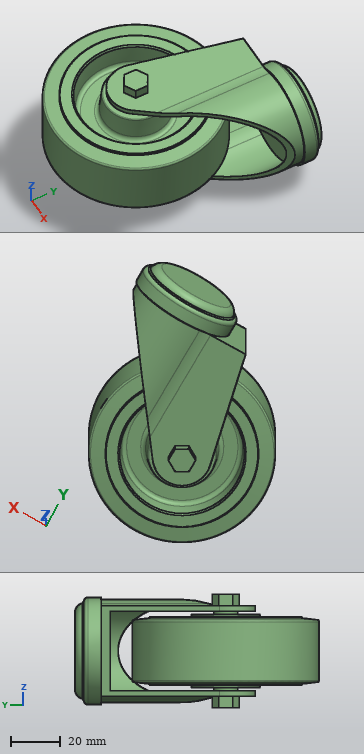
import cadquery as cq
import math


tolerance = 0.001

wheel_radius = 37.485
tread_half_width = 12.4
tread_edge_fillet = 0.8
shoulder_half_width = 13.2
groove_width = 0.3
groove_depth = 0.3
rim_radius = 30.5
rim_half_width = 13.8
recess_mouth_radius = 25.7
recess_wall_radius = 25.0
mouth_bevel_depth = 0.7
recess_floor_radius = 24.1
web_half_thickness = 3.4
recess_floor_fillet = 2.0
hub_top_radius = 13.7
hub_top_fillet = 0.4
hub_base_radius = 14.9
hub_base_fillet = 2.0
hub_half_width = 14.7

spacer_radius = 9.7 / 2
hex_corner_diameter = 11.0
bolt_half_length = 45.6 / 2

plate_thickness = 2.4
crown_wall = 2.1
plate_outer_z = 18.2
fork_end_radius = 11.9
fork_top_y = 50.0
fork_left_x = -1.0
crown_thickness = 3.7
crown_radius = 20.7
blend_radius = 13.0
trail_y = 45.9

cap_radius = 43.0 / 2
swivel_x = 28.0
cap_top_y = 60.515
cap_shoulder_round = 1.7
cap_shoulder_top_y = 56.9
cap_dome_radius = 19.2
cap_dome_y = 57.5
cap_flat_radius = 15.9
cap_dome_round = 4.1


def fillet_rings(body, ring_radius, height, fillet_radius):
    """Fillet the two circular edges of ring_radius at z = +height and z = -height."""
    def is_ring(edge):
        at_radius = math.isclose(edge.radius(), ring_radius, abs_tol=tolerance)
        return at_radius and math.isclose(abs(edge.Center().z), height, abs_tol=tolerance)

    return body.edges("%CIRCLE").filter(is_ring).fillet(fillet_radius)


def make_wheel():
    """Revolve the symmetric wheel section and round its edges."""
    groove_radius = rim_radius + groove_width
    groove_floor = shoulder_half_width - groove_depth
    upper_points = [
        (wheel_radius, tread_half_width),
        (groove_radius, shoulder_half_width),
        (groove_radius, groove_floor),
        (rim_radius, groove_floor),
        (rim_radius, rim_half_width),
        (recess_mouth_radius, rim_half_width),
        (recess_wall_radius, rim_half_width - mouth_bevel_depth),
        (recess_floor_radius, web_half_thickness),
        (hub_base_radius, web_half_thickness),
        (hub_top_radius, hub_half_width),
        (0, hub_half_width),
    ]
    lower_points = [(radius, -z) for radius, z in reversed(upper_points)]
    wheel = (
        cq.Workplane("XZ")
        .polyline(upper_points + lower_points)
        .close()
        .revolve(360, (0, 0, 0), (0, 1, 0))
    )
    wheel = fillet_rings(wheel, wheel_radius, tread_half_width, tread_edge_fillet)
    wheel = fillet_rings(wheel, recess_floor_radius, web_half_thickness, recess_floor_fillet)
    wheel = fillet_rings(wheel, hub_base_radius, web_half_thickness, hub_base_fillet)
    return fillet_rings(wheel, hub_top_radius, hub_half_width, hub_top_fillet)


def make_axle():
    """Spacer pin between the plates and a hexagon head beyond each plate."""
    pin = cq.Workplane("XY").circle(spacer_radius).extrude(plate_outer_z, both=True)
    heads = (
        cq.Workplane("XY")
        .polygon(6, hex_corner_diameter)
        .extrude(bolt_half_length, both=True)
        .rotate((0, 0, 0), (0, 0, 1), 30)
    )
    gap = cq.Workplane("XY").circle(hex_corner_diameter).extrude(plate_outer_z, both=True)
    return pin.union(heads.cut(gap))


def make_channel(half_height, radius, blend, left_x, top_y):
    """Solid with the fork's cross-section, extruded down from top_y."""
    blend_center_z = half_height + blend
    reach = math.sqrt((radius + blend) ** 2 - blend_center_z ** 2)
    blend_x = swivel_x - reach
    crown_share = radius / (radius + blend)
    crown_x = swivel_x - reach * crown_share
    crown_z = blend_center_z * crown_share
    mid_angle = math.atan2(blend_center_z, reach) / 2 + math.pi / 4
    mid_x = blend_x + blend * math.cos(mid_angle)
    mid_z = blend_center_z - blend * math.sin(mid_angle)
    return (
        cq.Workplane("XZ", origin=(0, top_y, 0))
        .moveTo(left_x, -half_height)
        .lineTo(blend_x, -half_height)
        .threePointArc((mid_x, -mid_z), (crown_x, -crown_z))
        .threePointArc((swivel_x + radius, 0), (crown_x, crown_z))
        .threePointArc((mid_x, mid_z), (blend_x, half_height))
        .lineTo(left_x, half_height)
        .close()
        .extrude(top_y + fork_end_radius)
    )


def end_tangent(x, y, side):
    """Tangent point on the fork's round end for a line through (x, y)."""
    angle = math.atan2(y, x) + side * math.acos(fork_end_radius / math.hypot(x, y))
    return fork_end_radius * math.cos(angle), fork_end_radius * math.sin(angle)


def make_fork():
    """Channel-shaped fork trimmed to its tapered side outline."""
    trail_x = swivel_x + crown_radius
    outline = (
        cq.Workplane("XY")
        .moveTo(fork_left_x, fork_top_y)
        .lineTo(*end_tangent(fork_left_x, fork_top_y, 1))
        .threePointArc((0, -fork_end_radius), end_tangent(trail_x, trail_y, -1))
        .lineTo(trail_x, trail_y)
        .lineTo(trail_x, fork_top_y)
        .close()
        .extrude(cap_radius, both=True)
    )
    outer = make_channel(plate_outer_z, crown_radius, blend_radius, -fork_end_radius, fork_top_y)
    inner = make_channel(
        plate_outer_z - plate_thickness,
        crown_radius - crown_wall,
        blend_radius + plate_thickness,
        -2 * fork_end_radius,
        fork_top_y - crown_thickness,
    )
    return outer.cut(inner).intersect(outline)


def make_cap():
    """Round swivel cap with a rounded shoulder and a rounded top edge."""
    return (
        cq.Workplane("XY")
        .moveTo(swivel_x, fork_top_y)
        .lineTo(swivel_x + cap_radius, fork_top_y)
        .lineTo(swivel_x + cap_radius, cap_shoulder_top_y - cap_shoulder_round)
        .radiusArc(
            (swivel_x + cap_radius - cap_shoulder_round, cap_shoulder_top_y),
            -cap_shoulder_round,
        )
        .lineTo(swivel_x + cap_dome_radius, cap_dome_y)
        .radiusArc((swivel_x + cap_flat_radius, cap_top_y), -cap_dome_round)
        .lineTo(swivel_x, cap_top_y)
        .close()
        .revolve(360, (swivel_x, 0, 0), (swivel_x, 1, 0))
    )


result = make_wheel().union(make_axle()).union(make_fork()).union(make_cap())